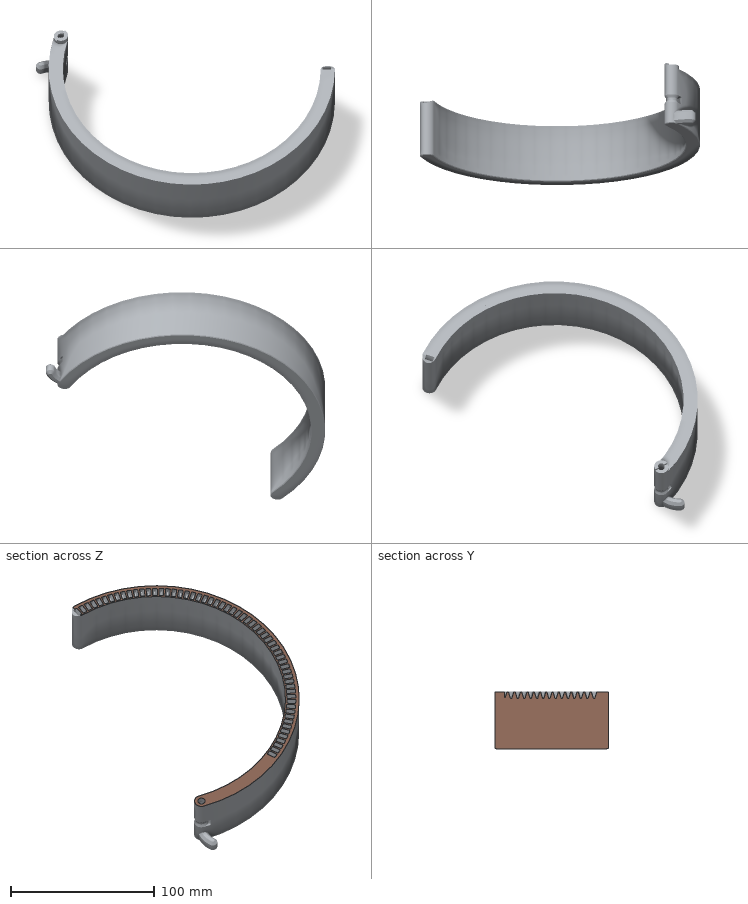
import cadquery as cq
import math

overall_length = 211.8

outer_radius = 100.0
band_thickness = 10.0
band_height = 40.0
foot_chamfer = 0.5
inner_radius = outer_radius - band_thickness
mid_radius = outer_radius - band_thickness / 2
hinge_angle = 180
free_end_angle = 15.2

ramp_start = 0.8
ramp_drop = 2.5
ramp_length = 4.2

pocket_pitch = 2.7
first_pocket = -52
last_pocket = 7
pocket_phase = 0.1
inner_wall = 1.3
outer_wall = 2.8
pocket_inner_radius = inner_radius + inner_wall
pocket_outer_radius = outer_radius - outer_wall
pocket_width = 3.4
pocket_floor_width = 0.6
pocket_depth = 4.5

barrel_radius = band_thickness / 2
barrel_height = 44.0
barrel_x = -mid_radius
step_drop = 1.5
step_angle = 18
bore_diameter = 4.7
bore_depth = 10.0
lower_bore_diameter = 3.4
lower_bore_depth = 20.0

groove_z = 18.0
groove_half_height = 2.8
groove_floor_half_height = 0.8
groove_floor_radius = 3.8
groove_outer_radius = 7.2

lever_height = 9.1
lever_width = 6.4
lever_chamfer = 2.0
lever_bend_radius = 15.9
lever_sweep = 40
lever_reach = lever_bend_radius * math.sin(math.radians(lever_sweep)) + lever_width / 2
lever_root_x = outer_radius - overall_length + lever_reach


def polar(radius, angle):
    """Point at a radius and an angle in degrees about the band centre."""
    turn = math.radians(angle)
    return radius * math.cos(turn), radius * math.sin(turn)


def make_band():
    """C-shaped strip with a half-round free end."""
    span_middle = (free_end_angle - hinge_angle) / 2
    return (
        cq.Workplane("XY")
        .moveTo(*polar(outer_radius, hinge_angle))
        .threePointArc(polar(outer_radius, span_middle), polar(outer_radius, free_end_angle))
        .tangentArcPoint(polar(inner_radius, free_end_angle), relative=False)
        .threePointArc(polar(inner_radius, span_middle), polar(inner_radius, hinge_angle))
        .close()
        .extrude(band_height)
    )


def make_end_ramp():
    """Wedge removed above the sloping top of the free end."""
    overrun = 2
    return (
        cq.Workplane("YZ")
        .moveTo(ramp_start, band_height)
        .lineTo(ramp_start + overrun * ramp_length, band_height - overrun * ramp_drop)
        .lineTo(ramp_start + overrun * ramp_length, band_height)
        .close()
        .extrude(2 * band_thickness, both=True)
        .translate((mid_radius, 0, 0))
        .rotate((0, 0, 0), (0, 0, 1), free_end_angle)
    )


def make_tooth_pockets():
    """Row of radial pockets with sloping walls and narrow flat floors."""
    pocket = (
        cq.Workplane("YZ", origin=(pocket_inner_radius, 0, band_height))
        .moveTo(-pocket_width / 2, 0)
        .lineTo(-pocket_floor_width / 2, -pocket_depth)
        .lineTo(pocket_floor_width / 2, -pocket_depth)
        .lineTo(pocket_width / 2, 0)
        .close()
        .extrude(pocket_outer_radius - pocket_inner_radius)
        .val()
    )
    pockets = []
    for index in range(first_pocket, last_pocket + 1):
        pocket_angle = pocket_phase + index * pocket_pitch
        pockets.append(pocket.rotate(cq.Vector(0, 0, 0), cq.Vector(0, 0, 1), pocket_angle))
    return cq.Compound.makeCompound(pockets)


def make_barrel():
    """Hinge barrel whose top is stepped down on the outward half."""
    barrel = cq.Workplane("XY").circle(barrel_radius).extrude(barrel_height)
    step = (
        cq.Workplane("XY", origin=(0, 0, barrel_height - step_drop))
        .rect(2 * barrel_radius, 4 * barrel_radius)
        .extrude(2 * step_drop)
        .translate((-barrel_radius, 0, 0))
        .rotate((0, 0, 0), (0, 0, 1), -step_angle)
    )
    return barrel.cut(step).translate((barrel_x, 0, 0))


def make_barrel_bore():
    """Blind stepped hole down the barrel axis."""
    top = cq.Workplane("XY", origin=(barrel_x, 0, barrel_height))
    bore = top.circle(bore_diameter / 2).extrude(-bore_depth)
    return bore.union(top.circle(lower_bore_diameter / 2).extrude(-lower_bore_depth))


def make_barrel_groove():
    """Ring with sloping sides down to the groove floor."""
    return (
        cq.Workplane("XZ")
        .moveTo(groove_floor_radius, -groove_floor_half_height)
        .lineTo(barrel_radius, -groove_half_height)
        .lineTo(groove_outer_radius, -groove_half_height)
        .lineTo(groove_outer_radius, groove_half_height)
        .lineTo(barrel_radius, groove_half_height)
        .lineTo(groove_floor_radius, groove_floor_half_height)
        .close()
        .revolve(360, (0, 0, 0), (0, 1, 0))
        .translate((barrel_x, 0, groove_z))
    )


def make_lever():
    """Arc-shaped lever with chamfered edges and a round tip."""
    section = (
        cq.Workplane("YZ")
        .rect(lever_width, lever_height)
        .extrude(2.1)
        .edges("|X")
        .chamfer(lever_chamfer)
        .faces("<X")
        .wires()
        .val()
    )
    bend_axis_start = cq.Vector(0, -lever_bend_radius, 0)
    bend_axis_end = cq.Vector(0, -lever_bend_radius, 2.1)
    arm = cq.Solid.revolve(section, [], lever_sweep, bend_axis_start, bend_axis_end)
    tip = (
        cq.Workplane("XY")
        .circle(lever_width / 2)
        .extrude(lever_height)
        .faces("<Z or >Z")
        .chamfer(lever_chamfer)
        .translate((0, 0, -lever_height / 2))
        .rotate((0, -lever_bend_radius, 0), (0, -lever_bend_radius, 1), lever_sweep)
    )
    return tip.union(cq.Workplane(arm)).translate((lever_root_x, 0, lever_height / 2))


result = (
    make_band()
    .cut(make_end_ramp())
    .cut(cq.Workplane(make_tooth_pockets()))
    .union(make_barrel())
    .faces("<Z")
    .chamfer(foot_chamfer)
    .cut(make_barrel_groove())
    .union(make_lever())
    .cut(make_barrel_bore())
)